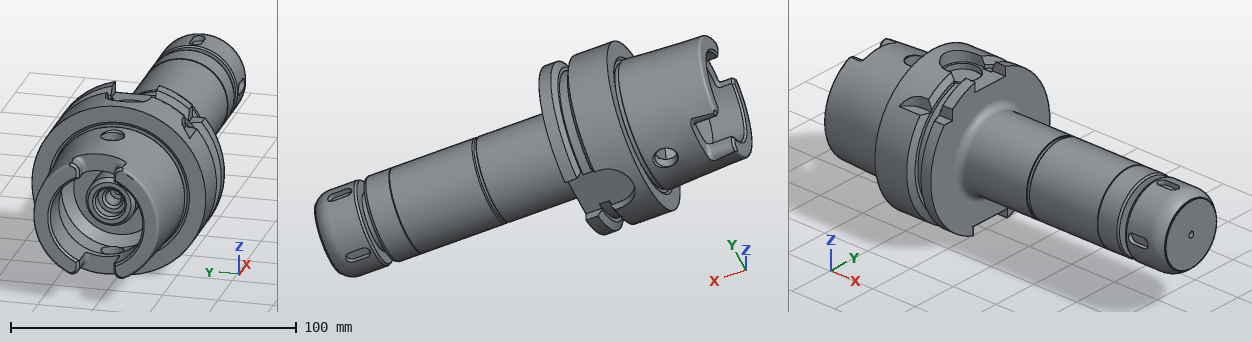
import cadquery as cq
import math


total_length = 152.0
chamfer_angle = 45

quarter_round_inset = 1 - math.sqrt(0.5)

taper_length = 29.8
taper_large_radius = 24.2
taper_per_length = 0.05
mouth_round = 0.9
taper_shoulder_end = 30.7
relief_radius = 23.4

flange_start = 31.8
flange_end = 57.9
flange_radius = 31.5
face_recess_outer_radius = 25.5
face_recess_inner_radius = 24.6
face_recess_depth = 0.6
groove_bottom_radius = 27.4
groove_start = 46.7
groove_end = 53.4
groove_slope_length = 1.5
groove_slope_depth = 2.7

body_radius = 16.0
body_end = 132.1
body_end_chamfer_length = 0.9
body_end_chamfer_depth = 0.5
flange_blend = 3.0
ring_groove_start = 88.9
ring_groove_end = 90.0
ring_groove_depth = 0.5
seam_position = 122.2
seam_depth = 0.2

neck_diameter = 22.0
nut_start = 134.8
nut_chamfer_length = 0.9
nut_chamfer_depth = 0.5
nut_round_start = 146.2
nut_face = 151.5
nut_face_radius = 13.7
collet_radius = 13.4
wrench_slot_count = 4
wrench_slot_width = 4.3
wrench_slot_length = 9.1
wrench_slot_center = 141.2
wrench_slot_depth = 2.0

bore_radius = 16.7
bore_mouth_chamfer = 0.8
undercut_start = 12.6
undercut_radius = 19.5
bore_floor = 30.4
bore_floor_radius = 16.0

tube_start = 18.8
tube_radius = 9.0
tube_tip_radius = 7.8
tube_tip_length = 1.8
tube_bore_radius = 5.3
tube_bore_chamfer = 0.8
tube_bore_depth = 4.5
nozzle_radius = 2.9
nozzle_chamfer = 0.9
nozzle_depth = 7.6
coolant_radius = 1.2

keyway_half_width = 6.2
keyway_corner_radius = 1.5
keyway_mouth_chamfer = 0.9
keyway_crest_half_width = 12.2
keyway_edge_round = 3.0
keyway_crest = 20.8
keyway_depth_top = 6.4
keyway_depth_bottom = 10.0

access_position = 23.1
access_diameter = 8.0
access_countersink_depth = 0.5
access_countersink_height = 1.5

top_slot_width = 16.0
bottom_slot_width = 18.0
slot_center = 44.8
slot_floor = 26.5
pocket_diameter = 14.0
pocket_depth = 2.3
notch_wall = 19.9
notch_center = 44.1
notch_width = 16.0


def turned(points):
    """Solid of revolution about X from a closed outline of (x, radius) points."""
    return cq.Workplane("XY").polyline(points).close().revolve(360, (0, 0, 0), (1, 0, 0))


def taper_radius(x):
    """Outside radius of the taper shank at position x."""
    return taper_large_radius - taper_per_length * (taper_length - x)


def outer_body():
    """Solid outside shape: half outline from the shank mouth to the collet, turned about X."""
    slope_drop = body_radius - nut_face_radius
    round_length = nut_face - nut_round_start
    nut_round = (round_length**2 + slope_drop**2) / (2 * slope_drop)
    half_angle = math.asin(round_length / nut_round) / 2
    round_middle = (
        nut_round_start + nut_round * math.sin(half_angle),
        body_radius - nut_round * (1 - math.cos(half_angle)),
    )
    blend_middle = flange_blend * quarter_round_inset
    mouth_middle = mouth_round * quarter_round_inset
    profile = (
        cq.Workplane("XY")
        .moveTo(0, 0)
        .lineTo(0, taper_radius(0) - mouth_round)
        .threePointArc(
            (mouth_middle, taper_radius(0) - mouth_middle),
            (mouth_round, taper_radius(mouth_round)),
        )
        .lineTo(taper_length, taper_large_radius)
        .lineTo(taper_shoulder_end, taper_large_radius)
        .lineTo(taper_shoulder_end, relief_radius)
        .lineTo(flange_start + face_recess_depth, relief_radius)
        .lineTo(flange_start + face_recess_depth, face_recess_inner_radius)
        .lineTo(flange_start, face_recess_outer_radius)
        .lineTo(flange_start, flange_radius)
        .lineTo(groove_start, flange_radius)
        .lineTo(groove_start + groove_slope_length, flange_radius - groove_slope_depth)
        .lineTo(groove_start + groove_slope_length, groove_bottom_radius)
        .lineTo(groove_end - groove_slope_length, groove_bottom_radius)
        .lineTo(groove_end - groove_slope_length, flange_radius - groove_slope_depth)
        .lineTo(groove_end, flange_radius)
        .lineTo(flange_end, flange_radius)
        .lineTo(flange_end, body_radius + flange_blend)
        .threePointArc(
            (flange_end + blend_middle, body_radius + blend_middle),
            (flange_end + flange_blend, body_radius),
        )
        .lineTo(ring_groove_start, body_radius)
        .lineTo(ring_groove_start, body_radius - ring_groove_depth)
        .lineTo(ring_groove_end, body_radius - ring_groove_depth)
        .lineTo(ring_groove_end + ring_groove_depth, body_radius)
        .lineTo(seam_position - seam_depth, body_radius)
        .lineTo(seam_position, body_radius - seam_depth)
        .lineTo(seam_position + seam_depth, body_radius)
        .lineTo(body_end - body_end_chamfer_length, body_radius)
        .lineTo(body_end, body_radius - body_end_chamfer_depth)
        .lineTo(body_end, neck_diameter / 2)
        .lineTo(nut_start, neck_diameter / 2)
        .lineTo(nut_start, body_radius - nut_chamfer_depth)
        .lineTo(nut_start + nut_chamfer_length, body_radius)
        .lineTo(nut_round_start, body_radius)
        .threePointArc(round_middle, (nut_face, nut_face_radius))
        .lineTo(nut_face, collet_radius)
        .lineTo(total_length, collet_radius)
        .lineTo(total_length, 0)
        .close()
    )
    return profile.revolve(360, (0, 0, 0), (1, 0, 0))


def bore():
    """Space between the shank wall and the coolant tube, with the passage through the tube."""
    floor_slope = undercut_radius - bore_floor_radius
    hollow = turned([
        (0, 0),
        (0, bore_radius + bore_mouth_chamfer),
        (bore_mouth_chamfer, bore_radius),
        (undercut_start, bore_radius),
        (undercut_start, undercut_radius),
        (bore_floor - floor_slope, undercut_radius),
        (bore_floor, bore_floor_radius),
        (bore_floor, tube_radius),
        (tube_start + tube_tip_length, tube_radius),
        (tube_start, tube_tip_radius),
        (tube_start, 0),
    ])
    nozzle_start = tube_start + tube_bore_depth
    passage = turned([
        (tube_start, 0),
        (tube_start, tube_bore_radius + tube_bore_chamfer),
        (tube_start + tube_bore_chamfer, tube_bore_radius),
        (nozzle_start, tube_bore_radius),
        (nozzle_start, nozzle_radius + nozzle_chamfer),
        (nozzle_start + nozzle_chamfer, nozzle_radius),
        (nozzle_start + nozzle_depth, nozzle_radius),
        (nozzle_start + nozzle_depth, coolant_radius),
        (total_length, coolant_radius),
        (total_length, 0),
    ])
    return hollow.union(passage)


def keyway_section():
    """Keyway outline on the +Z side: straight side walls rounding over into flat crests."""
    inner = keyway_half_width
    outer = inner + keyway_edge_round
    middle = inner + keyway_edge_round * quarter_round_inset
    round_start = keyway_crest - keyway_edge_round
    middle_height = keyway_crest - keyway_edge_round * quarter_round_inset
    return (
        cq.Workplane("YZ")
        .moveTo(-inner, 0)
        .lineTo(-inner, round_start)
        .threePointArc((-middle, middle_height), (-outer, keyway_crest))
        .lineTo(-keyway_crest_half_width, keyway_crest)
        .lineTo(-keyway_crest_half_width, flange_radius)
        .lineTo(keyway_crest_half_width, flange_radius)
        .lineTo(keyway_crest_half_width, keyway_crest)
        .lineTo(outer, keyway_crest)
        .threePointArc((middle, middle_height), (inner, round_start))
        .lineTo(inner, 0)
        .close()
    )


def keyway(depth):
    """Keyway with rounded inner corners and a chamfered mouth."""
    channel = keyway_section().extrude(depth).faces(">X").edges().fillet(keyway_corner_radius)
    mouth = (
        keyway_section()
        .offset2D(keyway_mouth_chamfer, "intersection")
        .extrude(keyway_mouth_chamfer, taper=chamfer_angle)
    )
    return channel.union(mouth)


def access_hole():
    """Radial hole on the +Z side, reaching the bore undercut, with a countersink at the surface."""
    radius = access_diameter / 2
    sink_start = taper_radius(access_position) - access_countersink_depth
    hole = cq.Workplane("XY", origin=(access_position, 0, bore_radius)).circle(radius).extrude(
        taper_large_radius - bore_radius)
    sink = cq.Workplane("XY", origin=(access_position, 0, sink_start)).circle(radius).extrude(
        access_countersink_height, taper=-chamfer_angle)
    return hole.union(sink)


def flange_slot(center, width, floor):
    """Slot open toward +X and +Z, its round end centred on the given (x, y)."""
    height = flange_radius - floor
    base = cq.Workplane("XY", origin=(*center, floor))
    end = base.circle(width / 2).extrude(height)
    run = base.box(flange_end - center[0], width, height, centered=(False, True, False))
    return end.union(run)


def data_pocket():
    """Round pocket sunk into the floor of the top drive slot."""
    return (
        cq.Workplane("XY", origin=(slot_center, 0, slot_floor - pocket_depth))
        .circle(pocket_diameter / 2)
        .extrude(pocket_depth)
    )


def wrench_slot():
    """Flat-bottomed round-ended slot in the +Z side of the nut."""
    return (
        cq.Workplane("XY", origin=(wrench_slot_center, 0, body_radius - wrench_slot_depth))
        .slot2D(wrench_slot_length, wrench_slot_width)
        .extrude(2 * wrench_slot_depth)
    )


def about_axis(shape, angle):
    return shape.rotate((0, 0, 0), (1, 0, 0), angle)


result = outer_body().cut(bore())

for angle, depth, slot_width in (
    (0, keyway_depth_top, top_slot_width),
    (180, keyway_depth_bottom, bottom_slot_width),
):
    result = result.cut(about_axis(keyway(depth), angle))
    result = result.cut(about_axis(access_hole(), angle))
    result = result.cut(about_axis(flange_slot((slot_center, 0), slot_width, slot_floor), angle))

result = result.cut(data_pocket())

notch_center_y = -(notch_wall + notch_width / 2)
result = result.cut(flange_slot((notch_center, notch_center_y), notch_width, notch_wall))

for index in range(wrench_slot_count):
    result = result.cut(about_axis(wrench_slot(), index * 360 / wrench_slot_count))